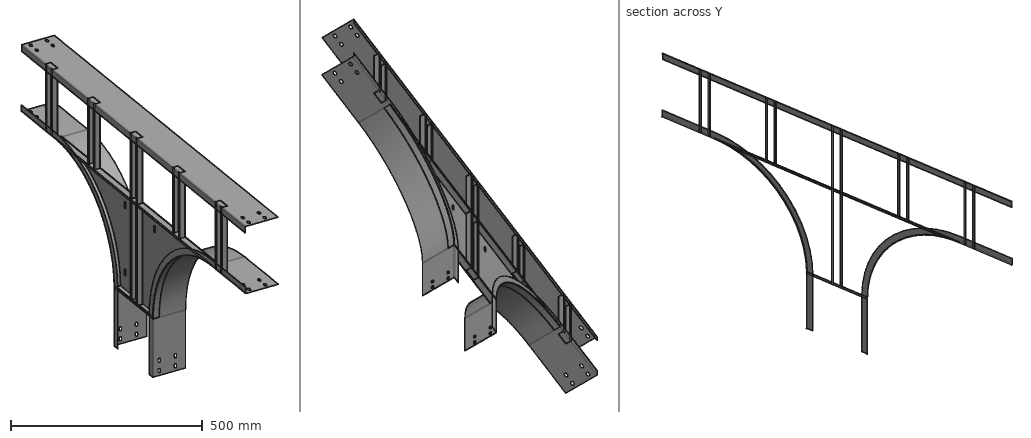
import cadquery as cq
import math


sheet = 1.5
rail_height = 100.0
lip_width = 20.0
bend_inner_radius = 0.5
bend_outer_radius = bend_inner_radius + sheet
outer_width = 200.0
elbow_radius = 300.0
stub_length = 172.6
right_stub_extra = 0.8
straight_rail_length = 1143.0
half_length = straight_rail_length / 2
branch_end_z = -(outer_width + elbow_radius + stub_length)

joint_slot_length = 12.0
joint_slot_width = 7.0
joint_slot_end_distances = (15.0, 45.0)
joint_slot_heights = (20.0, 69.0)

rung_width = 36.5
rung_depth = 17.0
channel_lip = 7.0
rung_pitch = 216.7

plate_height = 303.0
plate_depth = 19.5
plate_top_z = -197.0
plate_bottom_z = plate_top_z - plate_height
plate_center_z = (plate_top_z + plate_bottom_z) / 2
plate_slot_length = 21.0
plate_slot_width = 7.0
plate_slot_x = 75.0
plate_slot_half_pitch_z = 100.0

channel_front_y = sheet

run_plane = cq.Plane(origin=(0, 0, 0), xDir=(1, 0, 0), normal=(0, 0, 1))
branch_plane = cq.Plane(origin=(0, 0, 0), xDir=(0, 0, 1), normal=(-1, 0, 0))


def rail_section(start_x, outer_z, lip_direction):
    """L-shaped rail section in the YZ plane, with a rounded bend."""
    diagonal = 1 - math.sqrt(0.5)

    def point(y, inward):
        return (y, outer_z + lip_direction * inward)

    outer_mid = bend_outer_radius * diagonal
    inner_mid = sheet + bend_inner_radius * diagonal
    return (
        cq.Workplane("YZ", origin=(start_x, 0, 0))
        .moveTo(*point(rail_height, 0))
        .lineTo(*point(bend_outer_radius, 0))
        .threePointArc(point(outer_mid, outer_mid), point(0, bend_outer_radius))
        .lineTo(*point(0, lip_width))
        .lineTo(*point(sheet, lip_width))
        .lineTo(*point(sheet, bend_outer_radius))
        .threePointArc(point(inner_mid, inner_mid), point(bend_outer_radius, sheet))
        .lineTo(*point(rail_height, sheet))
        .close()
    )


def joint_slots(plane, end, inward, web_offset):
    """Cutters for the slots at a rail end, through the web at an offset from the plane."""
    centers = [
        (end + inward * distance, height)
        for distance in joint_slot_end_distances
        for height in joint_slot_heights
    ]
    return (
        cq.Workplane(plane)
        .workplane(offset=web_offset)
        .pushPoints(centers)
        .slot2D(joint_slot_length, joint_slot_width)
        .extrude(2 * sheet, both=True)
    )


def straight_rail():
    rail = rail_section(-half_length, 0, -1).extrude(2 * half_length)
    for side in (-1, 1):
        rail = rail.cut(joint_slots(run_plane, side * half_length, -side, 0))
    return rail


def elbow_rail(run_stub):
    """Left elbow rail: run stub, quarter bend and branch stub."""
    arc_start_x = -outer_width / 2 - elbow_radius
    arc_end = (-outer_width / 2, -outer_width - elbow_radius)
    start_x = arc_start_x - run_stub
    arc_mid_x = arc_start_x + elbow_radius * math.sqrt(0.5)
    arc_mid_z = -outer_width - elbow_radius * (1 - math.sqrt(0.5))
    path = (
        cq.Workplane("XZ")
        .moveTo(start_x, -outer_width)
        .lineTo(arc_start_x, -outer_width)
        .threePointArc((arc_mid_x, arc_mid_z), arc_end)
        .lineTo(-outer_width / 2, branch_end_z)
    )
    rail = rail_section(start_x, -outer_width, 1).sweep(path)
    rail = rail.cut(joint_slots(run_plane, start_x, 1, -outer_width))
    return rail.cut(joint_slots(branch_plane, branch_end_z, 1, outer_width / 2))


def lipped_channel(width, depth, length, plane):
    """Lipped channel centred on the plane's first axis; the lips face its negative second axis."""
    solid = cq.Workplane(plane).rect(width, depth).extrude(length)
    bore = cq.Workplane(plane).rect(width - 2 * sheet, depth - 2 * sheet).extrude(length)
    mouth = (
        cq.Workplane(plane)
        .center(0, -depth / 2)
        .rect(width - 2 * channel_lip, 3 * sheet)
        .extrude(length)
    )
    return solid.cut(bore).cut(mouth)


def rung(x, bottom_z):
    plane = cq.Plane(
        origin=(x, channel_front_y + rung_depth / 2, bottom_z), xDir=(1, 0, 0), normal=(0, 0, 1)
    )
    return lipped_channel(rung_width, rung_depth, -bottom_z, plane)


def junction_plate():
    """Channel plate trimmed to the outer faces of the elbow rails."""
    half_span = outer_width / 2 + elbow_radius
    plane = cq.Plane(
        origin=(-half_span, channel_front_y + plate_depth / 2, plate_center_z),
        xDir=(0, 0, -1),
        normal=(1, 0, 0),
    )
    plate = lipped_channel(plate_height, plate_depth, 2 * half_span, plane)
    for side in (-1, 1):
        trim = (
            cq.Workplane("XZ")
            .center(side * half_span, -outer_width - elbow_radius)
            .circle(elbow_radius)
            .extrude(-rail_height)
        )
        plate = plate.cut(trim)
    slots = (
        cq.Workplane("XZ")
        .center(0, plate_center_z)
        .rect(2 * plate_slot_x, 2 * plate_slot_half_pitch_z, forConstruction=True)
        .vertices()
        .slot2D(plate_slot_length, plate_slot_width, 90)
        .extrude(-rail_height)
    )
    return plate.cut(slots)


outer_rung_bottom_z = -outer_width + sheet

rung_bottoms = {
    -2: outer_rung_bottom_z,
    -1: plate_top_z,
    0: plate_bottom_z,
    1: plate_top_z,
    2: outer_rung_bottom_z,
}

result = straight_rail()
result = result.union(elbow_rail(stub_length))
result = result.union(elbow_rail(stub_length + right_stub_extra).mirror("YZ"))
result = result.union(junction_plate())
for index, bottom_z in rung_bottoms.items():
    result = result.union(rung(index * rung_pitch, bottom_z))